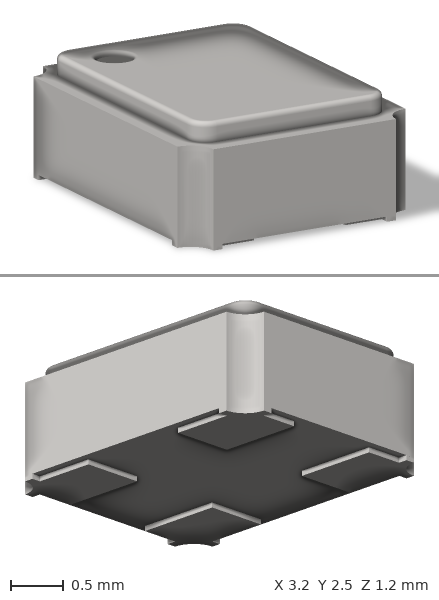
import cadquery as cq

LENGTH = 3.2
WIDTH = 2.5
HEIGHT = 1.2

PAD_HEIGHT = 0.05
PAD_REACH_X = 1.0
PAD_REACH_Y = 0.75
PAD_INSET = 0.1
PAD_CORNER = 0.35

NOTCH_RADIUS = 0.25

LID_STEP = 0.2
LID_EDGE_RADIUS = 0.05
LID_LENGTH = LENGTH - 2 * LID_STEP
LID_WIDTH = WIDTH - 2 * LID_STEP
BASE_TOP = HEIGHT - LID_STEP

DIMPLE_X = -0.947
DIMPLE_Y = -0.6
DIMPLE_FLOOR_RADIUS = 0.175
DIMPLE_DEPTH = 0.05

CORNER_SIGNS = [(-1, -1), (1, -1), (1, 1), (-1, 1)]


def make_notches():
    """Upright cylinders centred on the four package corners."""
    corners = [(sx * LENGTH / 2, sy * WIDTH / 2) for sx, sy in CORNER_SIGNS]
    return cq.Workplane("XY").pushPoints(corners).circle(NOTCH_RADIUS).extrude(HEIGHT)


def make_dimple():
    """Cutter for a round dimple whose wall is one convex quarter-round."""
    rim_radius = DIMPLE_FLOOR_RADIUS + DIMPLE_DEPTH
    arc_offset = DIMPLE_DEPTH * 0.5 ** 0.5
    arc_middle = (rim_radius - arc_offset, arc_offset - DIMPLE_DEPTH)
    return (
        cq.Workplane("XZ")
        .moveTo(0, -DIMPLE_DEPTH)
        .lineTo(DIMPLE_FLOOR_RADIUS, -DIMPLE_DEPTH)
        .threePointArc(arc_middle, (rim_radius, 0))
        .lineTo(0, 0)
        .close()
        .revolve(360, (0, 0, 0), (0, 1, 0))
        .translate((DIMPLE_X, DIMPLE_Y, HEIGHT))
    )


def make_package():
    """Notched base and rounded lid in one piece, with the dimple cut in."""
    base = (
        cq.Workplane("XY", origin=(0, 0, PAD_HEIGHT))
        .rect(LENGTH, WIDTH)
        .extrude(BASE_TOP - PAD_HEIGHT)
        .cut(make_notches())
    )
    lid = (
        cq.Workplane("XY", origin=(0, 0, BASE_TOP))
        .rect(LID_LENGTH, LID_WIDTH)
        .extrude(LID_STEP)
        .edges("|Z")
        .fillet(LID_STEP)
        .faces(">Z")
        .edges()
        .fillet(LID_EDGE_RADIUS)
    )
    return base.union(lid).cut(make_dimple()).solids()


def make_pad(sign_x, sign_y):
    """Inset rectangle joined to a square that reaches the notched corner."""

    def block(outer_gap, reach_x, reach_y):
        size_x = reach_x - outer_gap
        size_y = reach_y - outer_gap
        center_x = sign_x * (LENGTH / 2 - outer_gap - size_x / 2)
        center_y = sign_y * (WIDTH / 2 - outer_gap - size_y / 2)
        return cq.Workplane("XY").center(center_x, center_y).rect(size_x, size_y).extrude(PAD_HEIGHT)

    land = block(PAD_INSET, PAD_REACH_X, PAD_REACH_Y)
    corner = block(0, PAD_CORNER, PAD_CORNER)
    return land.union(corner).cut(make_notches()).solids()


package = make_package()
pads = [make_pad(sign_x, sign_y) for sign_x, sign_y in CORNER_SIGNS]

result = cq.Compound.makeCompound([package.val(), *[pad.val() for pad in pads]])